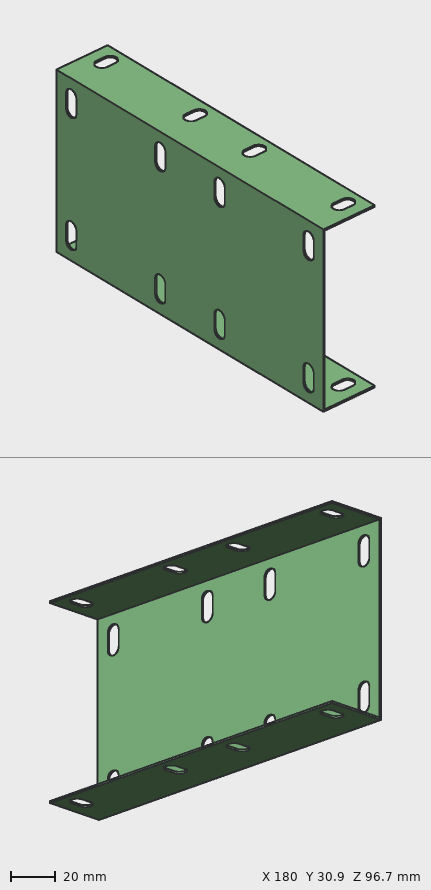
import cadquery as cq

length = 180.0
flange_depth = 30.87
height = 96.74
thickness = 1.0

slot_width = 7.0
slot_stations = [-80.0, -20.0, 20.0, 80.0]
web_slot_length = 15.0
web_slot_height = 35.0
flange_slot_length = 12.0
flange_slot_offset = 21.0


def make_channel():
    """Outer block centred in X and Z, front face at Y = 0, hollowed from the back."""
    block = cq.Workplane("XY").box(length, flange_depth, height, centered=(True, False, True))
    hollow = (
        cq.Workplane("XY")
        .box(length, flange_depth - thickness, height - 2 * thickness, centered=(True, False, True))
        .translate((0, thickness, 0))
    )
    return block.cut(hollow)


def web_slot_cutter():
    """Vertical slots in two rows through the web."""
    centres = [(x, z) for x in slot_stations for z in (-web_slot_height, web_slot_height)]
    return (
        cq.Workplane("XZ")
        .pushPoints(centres)
        .slot2D(web_slot_length, slot_width, 90)
        .extrude(-thickness)
    )


def flange_slot_cutter():
    """Slots along Y through both flanges."""
    return (
        cq.Workplane("XY")
        .pushPoints([(x, flange_slot_offset) for x in slot_stations])
        .slot2D(flange_slot_length, slot_width, 90)
        .extrude(height / 2, both=True)
    )


result = make_channel().cut(web_slot_cutter()).cut(flange_slot_cutter())